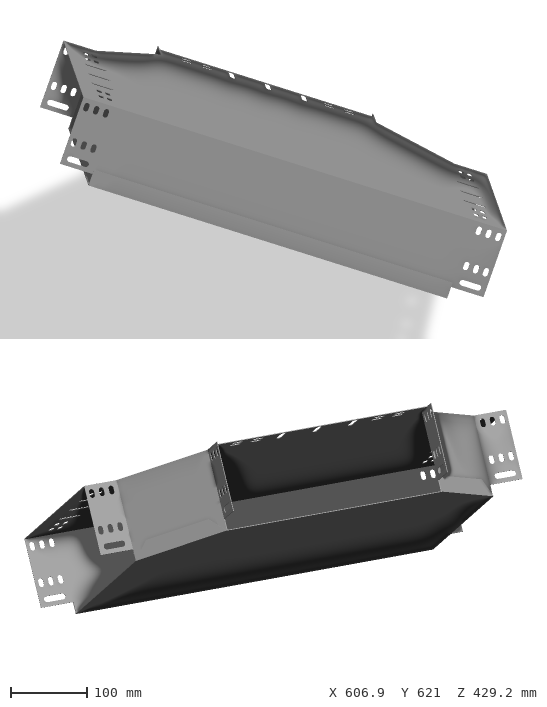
import cadquery as cq
import math


SHEET = 1.0

RUN_LENGTH = 592.0
RUN_WIDTH = 301.0
STUB = 45.5
MITRE = 100.0
FLANGE_DEPTH = 95.0
BRANCH_SETBACK = 17.5

COVER_DEPTH = 111.0
LIP_HEIGHT = 22.5

PAIR_ROWS = (28.0, 40.0)
PAIR_OFFSETS = (85.0, 113.5)
PAIR_SLOT = (15.0, 7.0)
LONG_ROW = 36.0
LONG_PITCH = 50.5
LONG_SLOT = (31.0, 7.5)

HOLE_STEPS = (8.0, 22.0, 35.5)
HOLE_DEPTHS = (12.0, 62.0)
HOLE_SLOT = (12.0, 7.0)
EDGE_SLOT = (30.0, 8.0)
EDGE_SLOT_DEPTH = 85.0

ROLL, PITCH, YAW = -28.9, 19.2, 61.2
PLACE = (142.0, -19.0, 117.5)

half_run = RUN_LENGTH / 2
mitre_start = half_run - STUB
half_branch = mitre_start - MITRE
mitre_end = RUN_WIDTH + MITRE
wall_depth = COVER_DEPTH - SHEET
branch_end = mitre_end + STUB
BEND_SHIFT = math.tan(math.radians(22.5))


def tee_outline(inset):
    """Tee outline with its walled sides moved inwards; the three openings stay in place."""
    shift = inset * BEND_SHIFT
    right = [
        (half_run, inset),
        (half_run, RUN_WIDTH - inset),
        (mitre_start - shift, RUN_WIDTH - inset),
        (half_branch - inset, mitre_end - shift),
        (half_branch - inset, branch_end),
    ]
    return right + mirrored(right)


def mirrored(points):
    """The same points on the -U side, in reverse order so that they close the outline."""
    return [(-u, v) for u, v in reversed(points)]


def slot_cutter(length, width):
    """Slot along U, cutting through a sheet at Z = 0."""
    return cq.Workplane("XY").slot2D(length, width).extrude(SHEET * 2, both=True).val()


def deck_slots():
    """Slots of one opening: the wall ends lie on U = 0, the deck on -U, the middle on V = 0."""
    short = slot_cutter(*PAIR_SLOT).rotate((0, 0, 0), (0, 0, 1), 90)
    long = slot_cutter(*LONG_SLOT)
    cutters = [long.translate((-LONG_ROW, i * LONG_PITCH, 0)) for i in (-1, 0, 1)]
    for row in PAIR_ROWS:
        for offset in PAIR_OFFSETS:
            for side in (-1, 1):
                cutters.append(short.translate((-row, side * offset, 0)))
    return cutters


def wall_holes():
    """Holes of one wall end: the end lies on U = 0, the wall on -U and in the plane V = 0."""
    hole = slot_cutter(*HOLE_SLOT).rotate((0, 0, 0), (0, 0, 1), 90)
    places = [(hole, step, depth) for step in HOLE_STEPS for depth in HOLE_DEPTHS]
    places.append((slot_cutter(*EDGE_SLOT), HOLE_STEPS[1], EDGE_SLOT_DEPTH))
    return [
        cutter.rotate((0, 0, 0), (1, 0, 0), 90).translate((-step, 0, -depth))
        for cutter, step, depth in places
    ]


def opening_cutters(half_width):
    """All slots and holes of one opening that faces +U and has its middle on V = 0."""
    cutters = deck_slots()
    for side in (-1, 1):
        cutters += [hole.translate((0, side * half_width, 0)) for hole in wall_holes()]
    return cutters


def below_stubs():
    """Space under the stubs, where the walls are less deep than the walls that meet the cover."""
    gap_depth = wall_depth - FLANGE_DEPTH
    run_gap = cq.Workplane("XY").box(
        STUB, RUN_WIDTH, gap_depth, centered=(True, False, False)
    )
    branch_gap = cq.Workplane("XY").box(
        2 * half_branch, STUB, gap_depth, centered=(True, False, False)
    ).translate((0, mitre_end, -wall_depth))
    run_middle = half_run - STUB / 2
    return [
        run_gap.translate((run_middle, 0, -wall_depth)),
        run_gap.translate((-run_middle, 0, -wall_depth)),
        branch_gap,
    ]


def make_tray():
    tray = cq.Workplane("XY").polyline(tee_outline(0)).close().extrude(-wall_depth)
    inside = (
        cq.Workplane("XY").workplane(offset=-SHEET)
        .polyline(tee_outline(SHEET)).close().extrude(-wall_depth)
    )
    setback = cq.Workplane("XY").box(
        2 * (half_branch - SHEET), 2 * BRANCH_SETBACK, 4 * SHEET
    ).translate((0, branch_end, 0))
    tray = tray.cut(inside).cut(setback)
    for gap in below_stubs():
        tray = tray.cut(gap)

    openings = [
        (half_run, RUN_WIDTH / 2, 0, RUN_WIDTH / 2),
        (-half_run, RUN_WIDTH / 2, 180, RUN_WIDTH / 2),
        (0, branch_end, 90, half_branch),
    ]
    for u, v, facing, half_width in openings:
        cutters = [
            c.rotate((0, 0, 0), (0, 0, 1), facing).translate((u, v, 0))
            for c in opening_cutters(half_width)
        ]
        tray = tray.cut(cq.Workplane(cq.Compound.makeCompound(cutters)))
    return tray


def cover_outline():
    """Cover outline: one sheet thickness outside the tray along the long side and the mitres."""
    mitre_offset = SHEET * math.sqrt(2)
    right = [
        (mitre_start, -SHEET),
        (mitre_start, RUN_WIDTH + mitre_offset),
        (half_branch + mitre_offset, mitre_end),
    ]
    return right + mirrored(right)


def run_lip():
    """Square-ended lip outside the tray's long wall."""
    return cq.Workplane("XY").box(
        2 * mitre_start, SHEET, LIP_HEIGHT, centered=(True, False, False)
    ).translate((0, -SHEET, -COVER_DEPTH))


def mitre_lip(side):
    """Lip with 45 degree ends along the mitre on the +U (side = 1) or -U (side = -1) side."""
    half = MITRE / math.sqrt(2)
    lip = (
        cq.Workplane("XZ")
        .polyline([(-half, 0), (half, 0), (half - LIP_HEIGHT, LIP_HEIGHT), (LIP_HEIGHT - half, LIP_HEIGHT)])
        .close().extrude(-SHEET)
    )
    middle = (side * (mitre_start + half_branch) / 2, (RUN_WIDTH + mitre_end) / 2, -COVER_DEPTH)
    return lip.rotate((0, 0, 0), (0, 0, 1), -45 * side).translate(middle)


def make_cover():
    plate = (
        cq.Workplane("XY").workplane(offset=-COVER_DEPTH)
        .polyline(cover_outline()).close().extrude(SHEET)
    )
    return plate.union(run_lip()).union(mitre_lip(1)).union(mitre_lip(-1))


def tilted(body):
    """Body turned and moved from the square position into its final place."""
    for axis, angle in (((1, 0, 0), ROLL), ((0, 1, 0), PITCH), ((0, 0, 1), YAW)):
        body = body.rotate((0, 0, 0), axis, angle)
    return body.translate(PLACE)


tray = tilted(make_tray())
cover = tilted(make_cover())

result = cq.Compound.makeCompound([tray.val(), cover.val()])